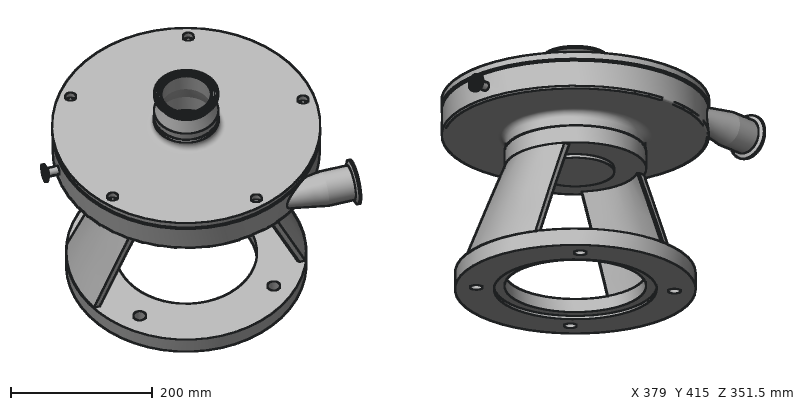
import cadquery as cq
import math


base_thickness = 25.0
spigot_bottom_z = 178.0
ring_bottom_z = 183.5
seat_z = 209.5
casing_bottom_z = 231.3
joint_bottom_z = 272.5
joint_top_z = 275.0
cover_top_z = 285.5
inlet_top_z = 351.5
port_z = 252.3

base_radius = 170.0
base_bore_radius = 100.0
base_recess_radius = 115.0
base_recess_depth = 5.0
base_bolt_count = 4
base_bolt_circle_radius = 140.0
base_bolt_hole_diameter = 18.0
base_bolt_start_angle = 45.0
ring_radius = 100.2
leg_foot_radius = 169.0
leg_wall = 11.0
leg_top_width = 110.0
leg_foot_width = 130.0
leg_inner_chamfer = 3.0

spigot_radius = 55.0
neck_radius = 98.8
neck_fillet = 10.0
casing_radius = 188.8
cover_radius = 189.5
casing_bottom_round = 3.0
joint_depth = 0.5
cover_bolt_count = 5
cover_bolt_circle_radius = 172.5
cover_bolt_hole_diameter = 15.5
cover_bolt_start_angle = 90.0

inlet_rim_radius = 45.5
inlet_pipe_radius = 38.1
inlet_bore_radius = 35.0
inlet_bore_bottom_z = 322.5
inlet_mouth_chamfer = 1.8
inlet_chamber_radius = 40.0
inlet_chamber_top_z = 301.0
inlet_pipe_bottom_z = 337.0
inlet_bell_radius = 45.5
inlet_bell_top_z = 317.0
inlet_bell_bottom_z = 304.0
bell_edge_chamfer = 2.0
collar_radius = 46.2
collar_chamfer = 3.0
collar_fillet = 9.5

rim_width = 2.85
flare_width = 3.2
groove_inset = 3.7
groove_width = 3.2
groove_depth = 1.0

outlet_x = 144.2
outlet_end_y = 204.7
outlet_rim_radius = 32.0
outlet_pipe_radius = 25.2
outlet_bore_radius = 23.4
outlet_taper_start_y = 159.5
outlet_taper_end_y = 90.0
outlet_taper_end_radius = 14.5

drain_end_y = -210.3
drain_rim_radius = 12.6
drain_pipe_radius = 6.3
drain_bore_radius = 5.0
drain_root_depth = 5.0
drain_root_y = -(casing_radius - drain_root_depth)


def cylinder(radius, bottom_z, top_z):
    return cq.Workplane("XY").workplane(offset=bottom_z).circle(radius).extrude(top_z - bottom_z)


def revolve_profile(profile):
    """Turn an outline of (radius, height) points about the Z axis."""
    return profile.close().revolve(360, (0, 0, 0), (0, 1, 0))


def polar_holes(count, circle_radius, diameter, start_angle, bottom_z, top_z):
    return (
        cq.Workplane("XY")
        .workplane(offset=bottom_z)
        .polarArray(circle_radius, start_angle, 360, count)
        .circle(diameter / 2)
        .extrude(top_z - bottom_z)
    )


def face_groove(rim_radius, face_z):
    """Gasket groove that is cut down into a ferrule face."""
    radius = rim_radius - groove_inset
    return (
        cq.Workplane("XY")
        .workplane(offset=face_z)
        .circle(radius + groove_width / 2)
        .circle(radius - groove_width / 2)
        .extrude(-groove_depth)
    )


def cone_frustum(bottom_radius, top_radius, bottom_z, top_z):
    return revolve_profile(
        cq.Workplane("XZ")
        .moveTo(0, bottom_z)
        .lineTo(bottom_radius, bottom_z)
        .lineTo(top_radius, top_z)
        .lineTo(0, top_z)
    )


def make_legs():
    """Conical shell from the ring down to the base, cut to the width of the legs.

    The flat leg sides meet the cone in hyperbolas; the inner ones are chamfered.
    """
    outer = cone_frustum(leg_foot_radius, ring_radius, base_thickness, ring_bottom_z)
    inner = cone_frustum(leg_foot_radius - leg_wall, ring_radius - leg_wall, base_thickness, ring_bottom_z)
    width_limit = (
        cq.Workplane("XZ")
        .moveTo(-leg_foot_width / 2, base_thickness)
        .lineTo(leg_foot_width / 2, base_thickness)
        .lineTo(leg_top_width / 2, ring_bottom_z)
        .lineTo(-leg_top_width / 2, ring_bottom_z)
        .close()
        .extrude(base_radius, both=True)
    )
    legs = outer.cut(inner).intersect(width_limit)
    mid_wall_radius = (leg_foot_radius + ring_radius - leg_wall) / 2
    inner_edges = [
        edge
        for edge in legs.edges().vals()
        if edge.geomType() == "HYPERBOLA"
        and math.hypot(edge.Center().x, edge.Center().y) < mid_wall_radius
    ]
    return legs.newObject(inner_edges).chamfer(leg_inner_chamfer)


def make_pedestal():
    base = cylinder(base_radius, 0, base_thickness).cut(cylinder(base_bore_radius, 0, base_thickness))
    base = base.cut(cylinder(base_recess_radius, 0, base_recess_depth))
    base = base.cut(
        polar_holes(
            base_bolt_count,
            base_bolt_circle_radius,
            base_bolt_hole_diameter,
            base_bolt_start_angle,
            0,
            base_thickness,
        )
    )
    ring = cylinder(ring_radius, ring_bottom_z, seat_z)
    ring = ring.cut(cylinder(spigot_radius, ring_bottom_z, seat_z))
    return base.union(make_legs()).union(ring)


def make_housing():
    """Spigot, neck, housing and cover, with the shallow groove of the cover joint."""
    return revolve_profile(
        cq.Workplane("XZ")
        .moveTo(0, spigot_bottom_z)
        .lineTo(spigot_radius, spigot_bottom_z)
        .lineTo(spigot_radius, seat_z)
        .lineTo(neck_radius, seat_z)
        .lineTo(neck_radius, casing_bottom_z - neck_fillet)
        .radiusArc((neck_radius + neck_fillet, casing_bottom_z), neck_fillet)
        .lineTo(casing_radius - casing_bottom_round, casing_bottom_z)
        .radiusArc((casing_radius, casing_bottom_z + casing_bottom_round), -casing_bottom_round)
        .lineTo(casing_radius, joint_bottom_z)
        .lineTo(casing_radius - joint_depth, joint_bottom_z)
        .lineTo(casing_radius - joint_depth, joint_top_z)
        .lineTo(cover_radius, joint_top_z)
        .lineTo(cover_radius, cover_top_z)
        .lineTo(0, cover_top_z)
    )


def make_inlet():
    collar_top_z = inlet_bell_bottom_z - bell_edge_chamfer
    waist_radius = collar_radius - collar_chamfer
    return revolve_profile(
        cq.Workplane("XZ")
        .moveTo(0, cover_top_z)
        .lineTo(collar_radius + collar_fillet, cover_top_z)
        .radiusArc((collar_radius, cover_top_z + collar_fillet), collar_fillet)
        .lineTo(collar_radius, collar_top_z - collar_chamfer)
        .lineTo(waist_radius, collar_top_z)
        .lineTo(inlet_bell_radius, inlet_bell_bottom_z)
        .lineTo(inlet_bell_radius, inlet_bell_top_z)
        .lineTo(inlet_pipe_radius, inlet_pipe_bottom_z)
        .lineTo(inlet_pipe_radius, inlet_top_z - rim_width - flare_width)
        .lineTo(inlet_rim_radius, inlet_top_z - rim_width)
        .lineTo(inlet_rim_radius, inlet_top_z)
        .lineTo(0, inlet_top_z)
    ).cut(face_groove(inlet_rim_radius, inlet_top_z))


def make_inlet_bore():
    """Chamfered bore that widens to a chamber, with its floor level with the top of the cover joint."""
    return revolve_profile(
        cq.Workplane("XZ")
        .moveTo(0, joint_top_z)
        .lineTo(inlet_chamber_radius, joint_top_z)
        .lineTo(inlet_chamber_radius, inlet_chamber_top_z)
        .lineTo(inlet_bore_radius, inlet_bore_bottom_z)
        .lineTo(inlet_bore_radius, inlet_top_z - inlet_mouth_chamfer)
        .lineTo(inlet_bore_radius + inlet_mouth_chamfer, inlet_top_z)
        .lineTo(0, inlet_top_z)
    )


def port_pipe(pipe_radius, rim_radius, root_z, end_z):
    """Straight pipe along +Z that ends in a clamp ferrule."""
    return revolve_profile(
        cq.Workplane("XZ")
        .moveTo(0, root_z)
        .lineTo(pipe_radius, root_z)
        .lineTo(pipe_radius, end_z - rim_width - flare_width)
        .lineTo(rim_radius, end_z - rim_width)
        .lineTo(rim_radius, end_z)
        .lineTo(0, end_z)
    )


def aim_outlet(shape):
    """Turn a shape built along +Z to run along +Y on the outlet axis."""
    return shape.rotate((0, 0, 0), (1, 0, 0), -90).translate((outlet_x, 0, port_z))


def make_outlet():
    pipe = port_pipe(outlet_pipe_radius, outlet_rim_radius, outlet_taper_start_y, outlet_end_y)
    taper = cone_frustum(
        outlet_taper_end_radius, outlet_pipe_radius, outlet_taper_end_y, outlet_taper_start_y
    )
    groove = face_groove(outlet_rim_radius, outlet_end_y)
    return aim_outlet(pipe.union(taper).cut(groove))


def make_outlet_bore():
    wall = outlet_pipe_radius - outlet_bore_radius
    bore = cylinder(outlet_bore_radius, outlet_taper_start_y, outlet_end_y)
    taper = cone_frustum(
        outlet_taper_end_radius - wall, outlet_bore_radius, outlet_taper_end_y, outlet_taper_start_y
    )
    return aim_outlet(bore.union(taper))


def aim_drain(shape):
    """Turn a shape built along +Z to run along -Y on the drain axis."""
    return shape.rotate((0, 0, 0), (1, 0, 0), 90).translate((0, 0, port_z))


def make_drain():
    pipe = port_pipe(drain_pipe_radius, drain_rim_radius, -drain_root_y, -drain_end_y)
    groove = face_groove(drain_rim_radius, -drain_end_y)
    return aim_drain(pipe.cut(groove))


def make_drain_bore():
    return aim_drain(cylinder(drain_bore_radius, -drain_root_y, -drain_end_y))


def make_casing():
    casing = make_housing().union(make_inlet()).union(make_outlet()).union(make_drain())
    for bore in (make_inlet_bore(), make_outlet_bore(), make_drain_bore()):
        casing = casing.cut(bore)
    return casing.cut(
        polar_holes(
            cover_bolt_count,
            cover_bolt_circle_radius,
            cover_bolt_hole_diameter,
            cover_bolt_start_angle,
            joint_top_z,
            cover_top_z,
        )
    )


pedestal = make_pedestal()
casing = make_casing()
result = cq.Compound.makeCompound([pedestal.val(), casing.val()])